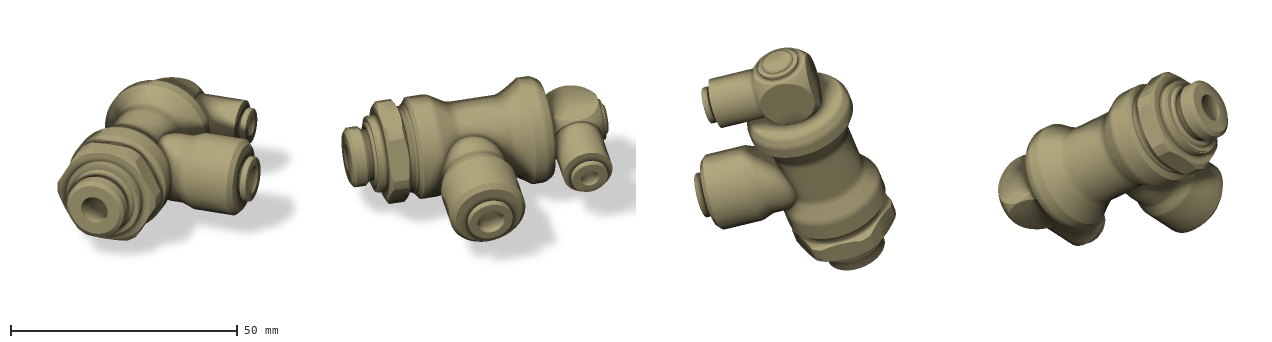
import cadquery as cq
import math


overall_width = 39.8
overall_length = 58.5
overall_height = 23.8

thread_radius = 6.65
neck_radius = 5.8
tip_radius = 5.8
tip_chamfer_height = 0.7
thread_relief_start = 3.05
thread_relief_end = 4.05

flange_start = 5.25
flange_radius = 8.6
flange_lip_radius = 8.4
flange_lip_width = 0.35
seal_tube_radius = 0.8
seal_center_radius = neck_radius + seal_tube_radius
seal_center_y = 5.5

nut_start = 7.4
nut_end = 11.95
nut_across_flats = 21.05
nut_corner_radius = 11.5
nut_chamfer_height = 0.6

groove_radius = 8.85
groove_end = 12.35
collar_radius = 9.65
collar_end = 13.35
step_radius = 10.0
step_start = 13.65
step_end = 14.1
lower_cone_radius = 10.3

lower_rim_radius = 11.4
lower_rim_start = 14.85
lower_rim_end = 18.55
waist_radius = 17.85 / 2
cone_angle = math.radians(30)
blend_radius = 3.0

waist_end = 34.3
flare_start_angle = math.radians(22)
flare_blend_radius = 3.5
flare_mid = (10.4, 37.9)
upper_rim_radius = overall_height / 2
upper_rim_start = 40.2
upper_rim_end = 42.35
upper_blend_radius = 2.1
crown_radius = 11.05
body_end = 44.75
crown_edge_chamfer = 0.35

main_port_y = 26.15
main_neck_radius = 15.05 / 2
main_neck_start = 9.8
main_neck_end = 12.4
main_cone_start = 13.3
main_cone_end = 15.1
main_socket_start = 15.8
main_socket_radius = 8.55
main_socket_end = 25.7
main_socket_chamfer = 1.05
main_blend_drop = 0.2
main_sleeve_radius = 3.7
main_release_radius = 5.05
main_release_end = overall_width - upper_rim_radius
main_bore_radius = 3.1

block_side = 12.2
block_face_radius = 5.95
small_port_y = 50.7
small_socket_radius = 11.2 / 2
small_socket_end = 16.55
small_sleeve_radius = 2.65
small_release_radius = 4.1
small_release_end = 18.65
small_bore_radius = 2.05

sleeve_gap = 0.75
release_chamfer = 0.2

cap_base_radius = 9.05 / 2
cap_base_end = 57.75
cap_radius = 6.95 / 2
cap_end = overall_length
cap_lower_chamfer = 0.2
cap_upper_chamfer = 0.35


def turned_on_main_axis(points):
    """Solid of revolution about Y from (radius, y) points."""
    return cq.Workplane("XY").polyline(points).close().revolve(360, (0, 0), (0, 1))


def turned_on_port_axis(outline, port_y):
    """Solid of revolution about a port's axis from an outline of (x, radius) points."""
    return outline.close().revolve(360, (0, 0), (1, 0)).translate((0, port_y, 0))


def cylinder_y(radius, start, end):
    """Cylinder on the main axis."""
    return cq.Workplane("XZ", origin=(0, start, 0)).circle(radius).extrude(start - end)


def threaded_end():
    stem = turned_on_main_axis([
        (0, 0),
        (tip_radius, 0),
        (thread_radius, tip_chamfer_height),
        (thread_radius, thread_relief_start),
        (neck_radius, thread_relief_end),
        (neck_radius, flange_start),
        (flange_lip_radius, flange_start),
        (flange_lip_radius, flange_start + flange_lip_width),
        (flange_radius, flange_start + flange_lip_width),
        (flange_radius, nut_start),
        (0, nut_start),
    ])
    seal = (
        cq.Workplane("XY")
        .center(seal_center_radius, seal_center_y)
        .circle(seal_tube_radius)
        .revolve(360, (-seal_center_radius, 0), (-seal_center_radius, 1))
    )
    return stem.union(seal)


def hex_nut():
    prism = (
        cq.Workplane("XZ", origin=(0, nut_start, 0))
        .polygon(6, nut_across_flats, circumscribed=True)
        .extrude(nut_start - nut_end)
        .rotate((0, 0, 0), (0, 1, 0), 30)
    )
    face_radius = nut_across_flats / 2
    envelope = turned_on_main_axis([
        (0, nut_start),
        (face_radius, nut_start),
        (nut_corner_radius, nut_start + nut_chamfer_height),
        (nut_corner_radius, nut_end - nut_chamfer_height),
        (face_radius, nut_end),
        (0, nut_end),
    ])
    return prism.intersect(envelope)


def waisted_body():
    blend_run = blend_radius * math.sin(cone_angle)
    blend_drop = blend_radius * (1 - math.cos(cone_angle))
    corner_offset = blend_radius * math.tan(cone_angle / 2)
    cone_length = (lower_rim_radius - waist_radius) / math.tan(cone_angle)
    waist_start = lower_rim_end + 2 * corner_offset + cone_length

    flare_start = (
        waist_radius + flare_blend_radius * (1 - math.cos(flare_start_angle)),
        waist_end + flare_blend_radius * math.sin(flare_start_angle),
    )
    crown_blend = (
        upper_rim_radius - upper_blend_radius * (1 - math.cos(cone_angle)),
        upper_rim_end + upper_blend_radius * math.sin(cone_angle),
    )
    outline = (
        cq.Workplane("XY")
        .moveTo(0, nut_end)
        .lineTo(groove_radius, nut_end)
        .lineTo(groove_radius, groove_end)
        .lineTo(collar_radius, groove_end)
        .lineTo(collar_radius, collar_end)
        .lineTo(step_radius, step_start)
        .lineTo(step_radius, step_end)
        .lineTo(lower_cone_radius, step_end)
        .lineTo(lower_rim_radius, lower_rim_start)
        .lineTo(lower_rim_radius, lower_rim_end)
        .tangentArcPoint((lower_rim_radius - blend_drop, lower_rim_end + blend_run), relative=False)
        .lineTo(waist_radius + blend_drop, waist_start - blend_run)
        .tangentArcPoint((waist_radius, waist_start), relative=False)
        .lineTo(waist_radius, waist_end)
        .tangentArcPoint(flare_start, relative=False)
        .threePointArc(flare_mid, (upper_rim_radius, upper_rim_start))
        .lineTo(upper_rim_radius, upper_rim_end)
        .tangentArcPoint(crown_blend, relative=False)
        .lineTo(crown_radius, body_end - crown_edge_chamfer)
        .lineTo(crown_radius - crown_edge_chamfer, body_end)
        .lineTo(0, body_end)
    )
    return outline.close().revolve(360, (0, 0), (0, 1))


def add_release_ring(outline, socket_end, sleeve_radius, ring_radius, ring_end):
    """Continue a port outline with a narrow sleeve and a chamfered ring, back to the axis."""
    ring_start = socket_end + sleeve_gap
    return (
        outline.lineTo(socket_end, sleeve_radius)
        .lineTo(ring_start, sleeve_radius)
        .lineTo(ring_start, ring_radius - release_chamfer)
        .lineTo(ring_start + release_chamfer, ring_radius)
        .lineTo(ring_end - release_chamfer, ring_radius)
        .lineTo(ring_end, ring_radius - release_chamfer)
        .lineTo(ring_end, 0)
    )


def main_port():
    diagonal = main_neck_radius * math.sqrt(0.5)
    socket = (
        cq.Workplane("XY")
        .moveTo(main_neck_start - main_neck_radius, 0)
        .threePointArc((main_neck_start - diagonal, diagonal), (main_neck_start, main_neck_radius))
        .lineTo(main_neck_end, main_neck_radius)
        .tangentArcPoint((main_cone_start, main_neck_radius + main_blend_drop), relative=False)
        .lineTo(main_cone_end, main_socket_radius - main_blend_drop)
        .tangentArcPoint((main_socket_start, main_socket_radius), relative=False)
        .lineTo(main_socket_end - main_socket_chamfer, main_socket_radius)
        .lineTo(main_socket_end, main_socket_radius - main_socket_chamfer)
    )
    outline = add_release_ring(
        socket, main_socket_end, main_sleeve_radius, main_release_radius, main_release_end
    )
    return turned_on_port_axis(outline, main_port_y)


def elbow_block():
    sphere_radius = math.hypot(block_side / 2, block_face_radius)
    cube = cq.Workplane("XY").box(block_side, block_side, block_side)
    trimmer = cq.Workplane("XY").sphere(sphere_radius)
    return cube.intersect(trimmer).translate((0, small_port_y, 0))


def small_port():
    socket = (
        cq.Workplane("XY")
        .lineTo(0, small_socket_radius)
        .lineTo(small_socket_end, small_socket_radius)
    )
    outline = add_release_ring(
        socket, small_socket_end, small_sleeve_radius, small_release_radius, small_release_end
    )
    return turned_on_port_axis(outline, small_port_y)


def cap():
    return turned_on_main_axis([
        (0, small_port_y),
        (cap_base_radius, small_port_y),
        (cap_base_radius, cap_base_end),
        (cap_radius - cap_lower_chamfer, cap_base_end),
        (cap_radius, cap_base_end + cap_lower_chamfer),
        (cap_radius, cap_end - cap_upper_chamfer),
        (cap_radius - cap_upper_chamfer, cap_end),
        (0, cap_end),
    ])


def port_bore(radius, port_y, port_end):
    """Bore along a port, with a round inner end centred on the main axis."""
    diagonal = radius * math.sqrt(0.5)
    outline = (
        cq.Workplane("XY")
        .moveTo(-radius, 0)
        .threePointArc((-diagonal, diagonal), (0, radius))
        .lineTo(port_end, radius)
        .lineTo(port_end, 0)
    )
    return turned_on_port_axis(outline, port_y)


result = waisted_body()
for piece in (threaded_end(), hex_nut(), elbow_block(), small_port(), cap(), main_port()):
    result = result.union(piece, clean=False)

for bore in (
    port_bore(main_bore_radius, main_port_y, main_release_end),
    cylinder_y(main_bore_radius, 0, main_port_y),
    port_bore(small_bore_radius, small_port_y, small_release_end),
    cylinder_y(small_bore_radius, main_port_y, small_port_y),
):
    result = result.cut(bore, clean=False)